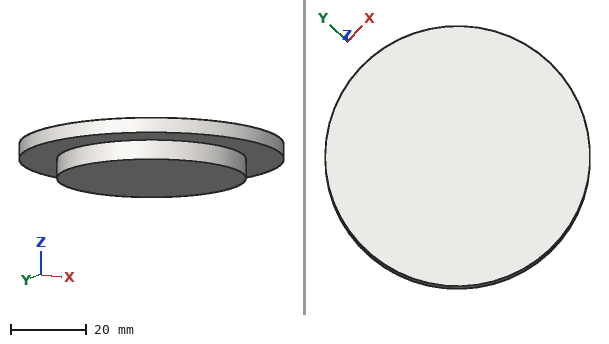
import cadquery as cq

disc_diameter = 70.0
boss_diameter = 50.0
total_height = 9.2
disc_thickness = 4.0
boss_height = total_height - disc_thickness

boss = cq.Workplane("XY").circle(boss_diameter / 2).extrude(boss_height)

disc = (
    cq.Workplane("XY")
    .workplane(offset=boss_height)
    .circle(disc_diameter / 2)
    .extrude(disc_thickness)
)

result = boss.union(disc)